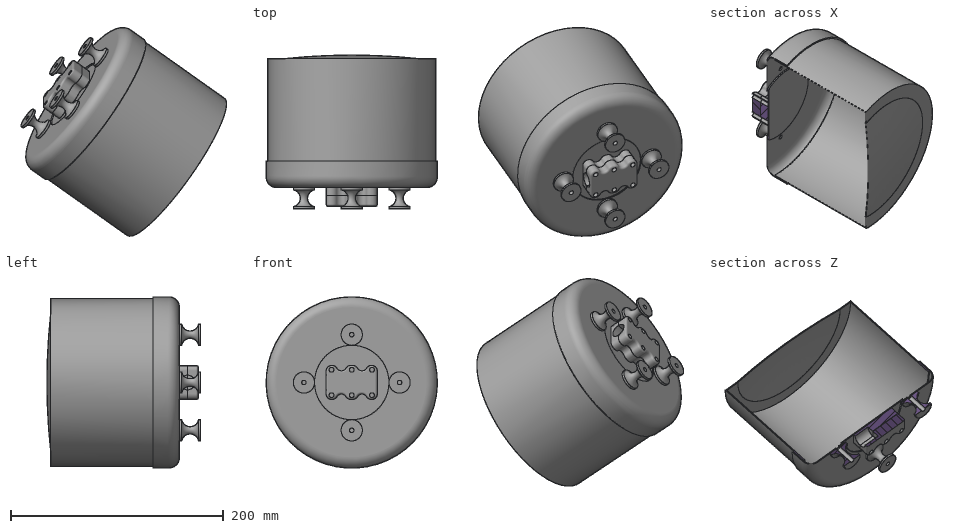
import cadquery as cq
import math


sheet = 1.5
lid_radius = 80.5
lid_depth = 25.0
lid_corner = 10.0
can_radius = lid_radius - sheet
can_back = 121.0

dome_radius = 64.4
dome_rise = 3.5

opening_radius = 35.0
disc_radius = 38.6
disc_thickness = sheet

knob_count = 4
knob_radius = 10.0
knob_length = 20.0
knob_neck_radius = 3.5
knob_groove_radius = 8.0
knob_hole_radius = 2.1
knob_circle_radius = opening_radius + knob_radius

block_half_width = 24.0
block_half_height = 16.0
block_front = -17.7
block_back = sheet
block_split = -7.5
block_edge_fillet = 2.0
wave_radius = 5.0
wave_angle = math.radians(60)
valley_x = 9.7
cable_hole_radius = 7.0
cable_hole_depth = 16.1
screw_hole_radius = 2.3
screw_x = 19.0
screw_z = 11.9


def cylinder(radius, y_start, y_end, x=0.0, z=0.0):
    """A cylinder along Y between two Y positions."""
    axis_start = cq.Vector(x, y_start, z)
    return cq.Workplane(cq.Solid.makeCylinder(radius, y_end - y_start, axis_start, cq.Vector(0, 1, 0)))


def revolve_about_y(profile):
    """Turn a closed profile in the XY plane once around the Y axis."""
    return profile.revolve(360, (0, 0, 0), (0, 1, 0))


def knob_centers():
    """X and Z of each knob axis."""
    angles = [2 * math.pi * i / knob_count for i in range(knob_count)]
    return [(knob_circle_radius * math.cos(a), knob_circle_radius * math.sin(a)) for a in angles]


def make_lid():
    """A cup of even wall with a rounded corner, the central opening and the knob holes."""
    outside = cylinder(lid_radius, 0, lid_depth).faces("<Y").edges().fillet(lid_corner)
    inside = cylinder(can_radius, sheet, lid_depth).faces("<Y").edges().fillet(lid_corner - sheet)
    lid = outside.cut(inside).cut(cylinder(opening_radius, 0, sheet))
    for x, z in knob_centers():
        lid = lid.cut(cylinder(knob_hole_radius, 0, sheet, x, z))
    return lid


def make_can():
    """A tube that slides into the lid up to its rounded corner, with an end wall open for the dome."""
    can = cylinder(can_radius, lid_corner, can_back)
    can = can.cut(cylinder(can_radius - sheet, lid_corner, can_back - sheet))
    return can.cut(cylinder(dome_radius, can_back - sheet, can_back))


def make_dome():
    """A shallow spherical cap of even thickness along Y."""
    crown = can_back + dome_rise
    mid_x = dome_radius / 2
    sphere_radius = (dome_radius**2 + dome_rise**2) / (2 * dome_rise)
    mid_y = crown - sphere_radius + math.sqrt(sphere_radius**2 - mid_x**2)
    profile = (
        cq.Workplane("XY")
        .moveTo(0, crown)
        .threePointArc((mid_x, mid_y), (dome_radius, can_back))
        .lineTo(dome_radius, can_back - sheet)
        .threePointArc((mid_x, mid_y - sheet), (0, crown - sheet))
        .close()
    )
    return revolve_about_y(profile)


def make_disc():
    """The plate inside the lid that carries the terminal block."""
    return cylinder(disc_radius, sheet, sheet + disc_thickness)


def make_knob(x, z):
    """A spool with a round groove and a hole along its axis."""
    middle = -knob_length / 2
    groove_center_radius = knob_neck_radius + knob_groove_radius
    groove_reach = math.sqrt(knob_groove_radius**2 - (groove_center_radius - knob_radius) ** 2)
    profile = (
        cq.Workplane("XY")
        .moveTo(knob_hole_radius, 0)
        .lineTo(knob_radius, 0)
        .lineTo(knob_radius, middle + groove_reach)
        .threePointArc((knob_neck_radius, middle), (knob_radius, middle - groove_reach))
        .lineTo(knob_radius, -knob_length)
        .lineTo(knob_hole_radius, -knob_length)
        .close()
    )
    return revolve_about_y(profile).translate((x, 0, z))


def block_outline():
    """Block section with three lobes and two valleys, joined by tangent arcs, along top and bottom."""
    lobe_z = block_half_height - wave_radius
    corner_x = block_half_width - wave_radius
    joint_dx = wave_radius * math.sin(wave_angle)
    joint_z = lobe_z + wave_radius * math.cos(wave_angle)
    valley_z = joint_z - wave_radius * (1 - math.cos(wave_angle))
    lobe_mid_dx = wave_radius * math.sin(wave_angle / 2)
    lobe_mid_z = lobe_z + wave_radius * math.cos(wave_angle / 2)
    diagonal = wave_radius * math.sqrt(0.5)

    def draw_edge(outline, side):
        """Draw one wavy edge with its corners: side 1 runs along the top, -1 back along the bottom."""
        outline = outline.threePointArc(
            (-side * (corner_x + diagonal), side * (lobe_z + diagonal)),
            (-side * corner_x, side * block_half_height),
        )
        for center_x in (-valley_x, valley_x):
            crest_start = center_x - 2 * joint_dx
            crest_end = center_x + 2 * joint_dx
            outline = (
                outline.lineTo(side * crest_start, side * block_half_height)
                .threePointArc(
                    (side * (crest_start + lobe_mid_dx), side * lobe_mid_z),
                    (side * (center_x - joint_dx), side * joint_z),
                )
                .threePointArc(
                    (side * center_x, side * valley_z),
                    (side * (center_x + joint_dx), side * joint_z),
                )
                .threePointArc(
                    (side * (crest_end - lobe_mid_dx), side * lobe_mid_z),
                    (side * crest_end, side * block_half_height),
                )
            )
        return outline.lineTo(side * corner_x, side * block_half_height).threePointArc(
            (side * (corner_x + diagonal), side * (lobe_z + diagonal)),
            (side * block_half_width, side * lobe_z),
        )

    outline = cq.Workplane("XZ").moveTo(-block_half_width, lobe_z)
    outline = draw_edge(outline, 1).lineTo(block_half_width, -lobe_z)
    return draw_edge(outline, -1).close()


def cut_block_holes(half):
    """Cut the blind cable hole along X and the six screw holes along Y."""
    cable_hole = cq.Solid.makeCylinder(
        cable_hole_radius,
        cable_hole_depth,
        cq.Vector(-block_half_width, block_split, 0),
        cq.Vector(1, 0, 0),
    )
    half = half.cut(cq.Workplane(cable_hole))
    for x in (-screw_x, 0, screw_x):
        for z in (-screw_z, screw_z):
            half = half.cut(cylinder(screw_hole_radius, block_front, block_back, x, z))
    return half


def make_block_base():
    """The half of the terminal block that sits on the disc."""
    base = block_outline().extrude(block_back - block_split).translate((0, block_back, 0))
    return cut_block_holes(base)


def make_block_cover():
    """The front half of the terminal block, with a rounded front edge."""
    cover = block_outline().extrude(block_split - block_front).translate((0, block_split, 0))
    cover = cover.faces("<Y").edges().fillet(block_edge_fillet)
    return cut_block_holes(cover)


lid = make_lid()
can = make_can()
dome = make_dome()
disc = make_disc()
block_base = make_block_base()
block_cover = make_block_cover()
knobs = [make_knob(x, z) for x, z in knob_centers()]

result = cq.Compound.makeCompound(
    [
        lid.val(),
        can.val(),
        dome.val(),
        disc.val(),
        block_base.val(),
        block_cover.val(),
        *[knob.val() for knob in knobs],
    ]
)